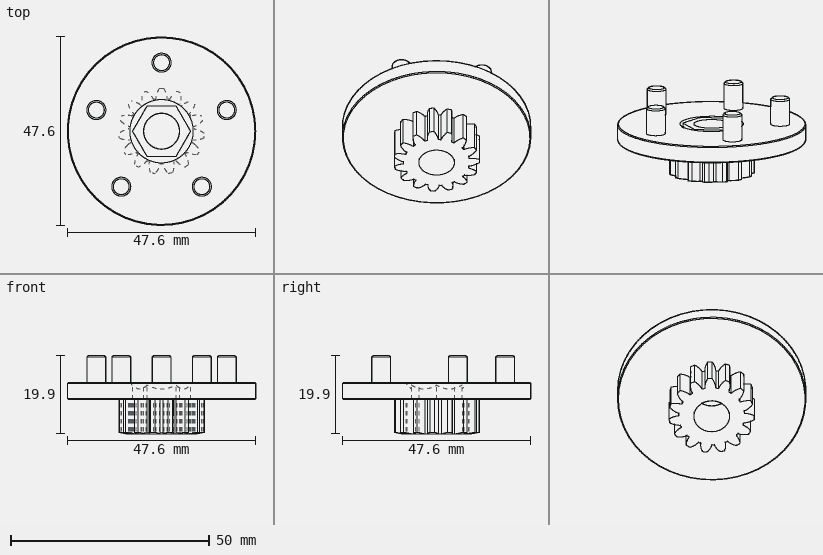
import cadquery as cq
import math

flange_diameter = 47.57
flange_thickness = 4.3
flange_chamfer = 0.25
countersink_diameter = 16.0

pin_count = 5
pin_diameter = 4.8
pin_height = 6.85
pin_chamfer = 0.4
pin_circle_radius = 17.3
first_pin_angle = 90

overall_height = 19.85
gear_height = overall_height - flange_thickness - pin_height
tooth_count = 15
first_tooth_angle = 90
tip_radius = 10.8
root_radius = 8.32
tip_half_angle = 3.0
root_half_angle = 2.34
flank_radius = 5.0
end_bevel_radius = 8.56
end_bevel_height = 0.43
hex_sides = 6
hex_across_flats = 12.7
bore_diameter = 9.0

tooth_pitch = 360 / tooth_count
hex_across_corners = hex_across_flats / math.cos(math.pi / hex_sides)


def polar(radius, degrees):
    angle = math.radians(degrees)
    return (radius * math.cos(angle), radius * math.sin(angle))


def make_flange():
    disc = (
        cq.Workplane("XY")
        .circle(flange_diameter / 2)
        .extrude(flange_thickness)
        .edges()
        .chamfer(flange_chamfer)
    )
    hex_hole = cq.Workplane("XY").polygon(hex_sides, hex_across_corners).extrude(flange_thickness)
    cone_radius = countersink_diameter / 2
    mouth_centre = cq.Vector(0, 0, flange_thickness)
    downward = cq.Vector(0, 0, -1)
    countersink = cq.Solid.makeCone(cone_radius, 0, cone_radius, mouth_centre, downward)
    return disc.cut(hex_hole).cut(cq.Workplane(countersink))


def make_pin(degrees):
    x, y = polar(pin_circle_radius, degrees)
    return (
        cq.Workplane("XY", origin=(x, y, flange_thickness))
        .circle(pin_diameter / 2)
        .extrude(pin_height)
        .faces(">Z")
        .chamfer(pin_chamfer)
    )


def gear_outline():
    outline = cq.Workplane("XY", origin=(0, 0, -gear_height))
    root_edge = tooth_pitch / 2 - root_half_angle
    outline = outline.moveTo(*polar(root_radius, first_tooth_angle - root_edge))
    for tooth in range(tooth_count):
        centre = first_tooth_angle + tooth * tooth_pitch
        root_centre = centre + tooth_pitch / 2
        outline = (
            outline.radiusArc(polar(tip_radius, centre - tip_half_angle), -flank_radius)
            .threePointArc(polar(tip_radius, centre), polar(tip_radius, centre + tip_half_angle))
            .radiusArc(polar(root_radius, centre + root_edge), -flank_radius)
            .threePointArc(
                polar(root_radius, root_centre),
                polar(root_radius, root_centre + root_half_angle),
            )
        )
    return outline.close()


def make_gear():
    toothed = gear_outline().extrude(gear_height)
    blank = (
        cq.Workplane("XZ")
        .moveTo(0, -gear_height)
        .lineTo(end_bevel_radius, -gear_height)
        .lineTo(tip_radius, end_bevel_height - gear_height)
        .lineTo(tip_radius, 0)
        .lineTo(0, 0)
        .close()
        .revolve()
    )
    spigot = cq.Workplane("XY").polygon(hex_sides, hex_across_corners).extrude(flange_thickness)
    bore = (
        cq.Workplane("XY", origin=(0, 0, -gear_height))
        .circle(bore_diameter / 2)
        .extrude(gear_height + flange_thickness)
    )
    return toothed.intersect(blank).union(spigot).cut(bore)


flange = make_flange()
gear = make_gear()
pins = [make_pin(first_pin_angle + index * 360 / pin_count) for index in range(pin_count)]

bodies = [flange, gear, *pins]
result = cq.Compound.makeCompound([body.solids().val() for body in bodies])